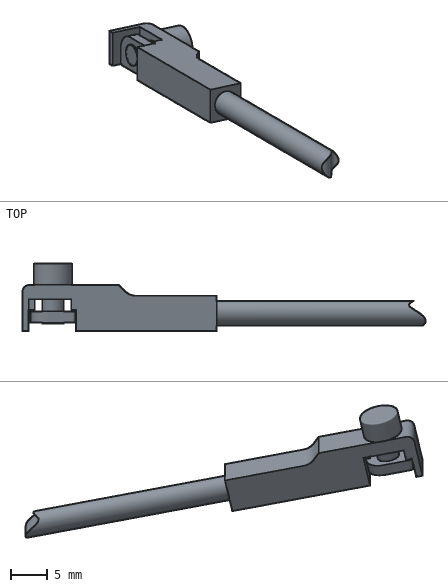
import cadquery as cq
import math

total_length = 56.0
total_width = 9.4

housing_length = 27.0
bar_side = 4.95
front_width = 6.45
corner_radius = 1.0
shoulder_start = 13.4
shoulder_radius = 2.25

end_wall = 0.9
recess_end = 7.45
recess_floor = 2.9
window_floor = 4.4
ledge_spacing = 5.05

cable_diameter = 3.5
cable_y = bar_side / 2
cable_low_end = 55.5
cable_high_end = 54.35
tip_inset = 0.6
notch_x = 53.7
notch_inset = 0.55
slope_x = 54.75
slope_offset = 0.35

screw_x = 4.25
head_diameter = 5.4
head_edge = 0.15
shank_diameter = 3.0
shank_tip = 1.0
plate_start = 1.2
plate_thickness = 1.55
plate_length = 6.3
plate_height = 4.9
plate_small_radius = 0.4


def box_between(x_range, y_range, z_range):
    """Box spanning the given coordinate ranges."""
    sizes = [high - low for low, high in (x_range, y_range, z_range)]
    corner = (x_range[0], y_range[0], z_range[0])
    return cq.Workplane("XY").box(*sizes, centered=False).translate(corner)


def rod_along_y(diameter, y_start, y_end):
    """Cylinder on the screw axis."""
    plane = cq.Workplane("XZ", origin=(screw_x, y_start, 0))
    return plane.circle(diameter / 2).extrude(y_start - y_end)


def housing_blank():
    """Housing outline with a 45 degree shoulder that runs out in a tangent arc."""
    drop = front_width - bar_side
    shoulder_end = shoulder_start + drop + shoulder_radius * math.tan(math.pi / 8)

    def shoulder_point(angle):
        return (
            shoulder_end - shoulder_radius * math.sin(angle),
            bar_side + shoulder_radius * (1 - math.cos(angle)),
        )

    return (
        cq.Workplane("XY")
        .lineTo(housing_length, 0)
        .lineTo(housing_length, bar_side)
        .lineTo(shoulder_end, bar_side)
        .threePointArc(shoulder_point(math.pi / 8), shoulder_point(math.pi / 4))
        .lineTo(shoulder_start, front_width)
        .lineTo(corner_radius, front_width)
        .radiusArc((0, front_width - corner_radius), -corner_radius)
        .close()
        .extrude(bar_side / 2, both=True)
    )


def housing_opening():
    """Opening through the height, with a lower ledge at one end and an upper ledge at the other."""
    half = bar_side / 2
    inner = (recess_floor, window_floor)
    opening = box_between((end_wall, recess_end), (0, window_floor), (-half, half))
    lower_ledge = box_between((end_wall, screw_x - ledge_spacing / 2), inner, (-half, 0))
    upper_ledge = box_between((screw_x + ledge_spacing / 2, recess_end), inner, (0, half))
    return opening.cut(lower_ledge).cut(upper_ledge)


def cable():
    """Round cable cut through its height by an S-shaped curve."""
    radius = cable_diameter / 2
    low_side = cable_y - radius
    high_side = cable_y + radius
    end_curve = [
        (total_length, low_side + tip_inset),
        (slope_x, cable_y + slope_offset),
        (notch_x, high_side - notch_inset),
        (cable_high_end, high_side),
    ]
    rod = (
        cq.Workplane("YZ", origin=(housing_length, cable_y, 0))
        .circle(radius)
        .extrude(total_length - housing_length)
    )
    end_profile = (
        cq.Workplane("XY")
        .moveTo(housing_length, low_side)
        .lineTo(cable_low_end, low_side)
        .spline(end_curve, includeCurrent=True)
        .lineTo(housing_length, high_side)
        .close()
        .extrude(radius, both=True)
    )
    return rod.intersect(end_profile)


def make_sensor():
    """Housing and cable, with the hole for the screw shank."""
    screw_hole = rod_along_y(shank_diameter, window_floor, front_width)
    return housing_blank().cut(housing_opening()).cut(screw_hole).union(cable())


def turning_plate():
    """Plate with two opposite large rounded corners, so that it can turn one way."""
    half_length = plate_length / 2
    half_height = plate_height / 2
    plate = box_between(
        (screw_x - half_length, screw_x + half_length),
        (plate_start, plate_start + plate_thickness),
        (-half_height, half_height),
    )
    for face, end in (("<X", ">Z"), (">X", "<Z")):
        plate = plate.faces(face).edges(end).fillet(half_height)
    for face, end in (("<X", "<Z"), (">X", ">Z")):
        plate = plate.faces(face).edges(end).fillet(plate_small_radius)
    return plate


def make_screw():
    """Screw head, shank and turning plate."""
    head = rod_along_y(head_diameter, front_width, total_width).edges().fillet(head_edge)
    shank = rod_along_y(shank_diameter, shank_tip, front_width)
    return head.union(shank).union(turning_plate())


sensor = make_sensor()
screw = make_screw()
result = cq.Compound.makeCompound([sensor.val(), screw.val()])